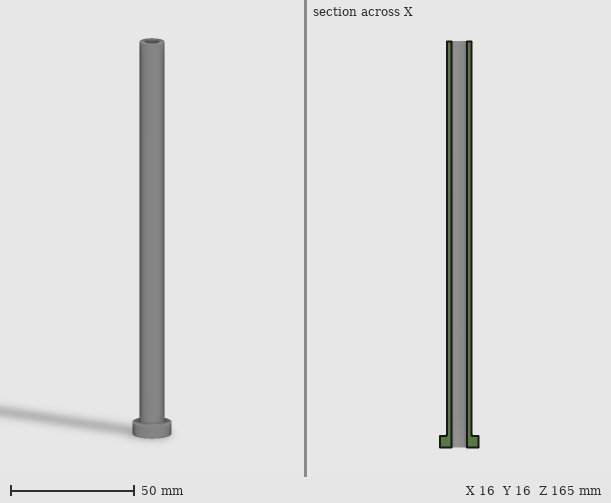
import cadquery as cq

total_length = 165.0
shaft_diameter = 10.0
bore_diameter = 6.3

head_diameter = 16.0
head_height = 5.0

neck_fillet = 0.5

shaft_radius = shaft_diameter / 2
bore_radius = bore_diameter / 2
head_radius = head_diameter / 2

half_section = (
    cq.Workplane("XZ")
    .moveTo(bore_radius, 0)
    .lineTo(head_radius, 0)
    .lineTo(head_radius, head_height)
    .lineTo(shaft_radius + neck_fillet, head_height)
    .radiusArc((shaft_radius, head_height + neck_fillet), neck_fillet)
    .lineTo(shaft_radius, total_length)
    .lineTo(bore_radius, total_length)
    .close()
)

result = half_section.revolve(360, (0, 0, 0), (0, 1, 0))